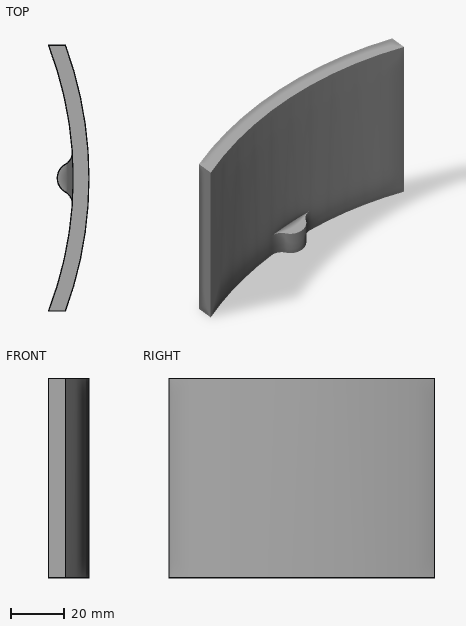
import cadquery as cq
import math

outer_radius = 145.0
wall_thickness = 6.0
plate_width = 100.0
plate_height = 75.0
inner_radius = outer_radius - wall_thickness

lug_height = 10.0
lug_width = 20.0
lug_reach = 6.0
nose_radius = 6.0
lug_embed = wall_thickness / 2


def arc_x(radius, y):
    """X of a circle about the tube axis at the given Y."""
    return math.sqrt(radius**2 - y**2)


def make_plate():
    half_width = plate_width / 2
    outer_end_x = arc_x(outer_radius, half_width)
    inner_end_x = arc_x(inner_radius, half_width)
    return (
        cq.Workplane("XY")
        .moveTo(outer_end_x, -half_width)
        .threePointArc((outer_radius, 0), (outer_end_x, half_width))
        .lineTo(inner_end_x, half_width)
        .threePointArc((inner_radius, 0), (inner_end_x, -half_width))
        .close()
        .extrude(plate_height)
    )


def make_lug():
    """Round nose with flanks that curve tangentially into the wall."""
    foot_y = lug_width / 2
    foot_x = arc_x(inner_radius, foot_y)
    tip_x = inner_radius - lug_reach
    nose_x = tip_x + nose_radius

    normal_x = -foot_x / inner_radius
    normal_y = -foot_y / inner_radius
    offset_x = foot_x - nose_x
    offset_along_normal = offset_x * normal_x + foot_y * normal_y
    flank_radius = (offset_x**2 + foot_y**2 - nose_radius**2) / (2 * (nose_radius - offset_along_normal))
    flank_x = foot_x + flank_radius * normal_x
    flank_y = foot_y + flank_radius * normal_y

    nose_share = nose_radius / (nose_radius + flank_radius)
    blend_x = nose_x + (flank_x - nose_x) * nose_share
    blend_y = flank_y * nose_share

    chord_x = (foot_x + blend_x) / 2 - flank_x
    chord_y = (foot_y + blend_y) / 2 - flank_y
    stretch = flank_radius / math.hypot(chord_x, chord_y)
    middle_x = flank_x + chord_x * stretch
    middle_y = flank_y + chord_y * stretch

    back_x = inner_radius + lug_embed
    return (
        cq.Workplane("XY")
        .moveTo(back_x, foot_y)
        .lineTo(foot_x, foot_y)
        .threePointArc((middle_x, middle_y), (blend_x, blend_y))
        .threePointArc((tip_x, 0), (blend_x, -blend_y))
        .threePointArc((middle_x, -middle_y), (foot_x, -foot_y))
        .lineTo(back_x, -foot_y)
        .close()
        .extrude(lug_height)
    )


result = make_plate().union(make_lug())